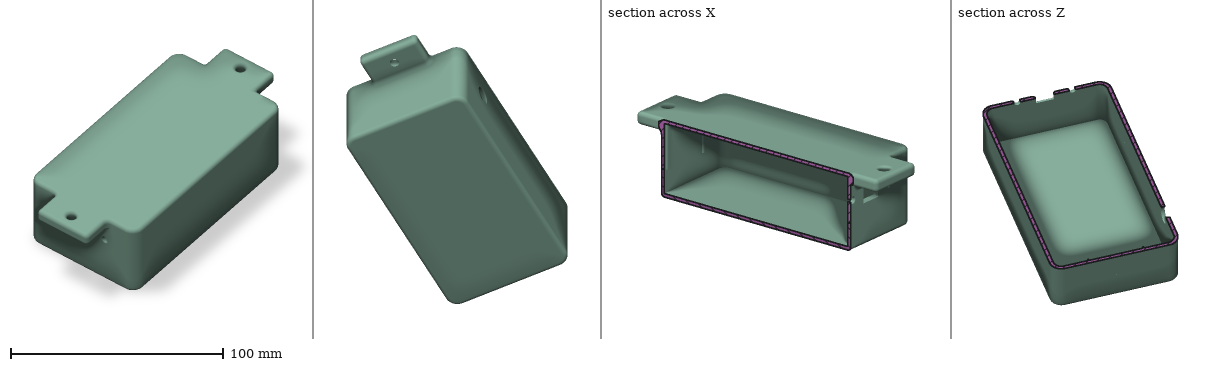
import cadquery as cq
width = 63.5
overall_length = 145.0
height = 39.3
tab_reach = 15.4
body_length = overall_length - 2 * tab_reach
cover_height = 13.9
wall = 2.0
corner_radius = 6.0
edge_radius = 2.0

tab_width = 30.0
tab_thickness = 6.5
tab_hole_diameter = 4.5
tab_hole_rim_diameter = 8.4
tab_hole_inset = 7.4

port_z = 25.4
rim_radius = 0.51
led_hole_diameter = 3.0
led_hole_x = 13.6
window_width = 9.0
window_height = 6.1
window_bevel = 1.0

cable_hole_diameter = 8.0
cable_hole_y = 35.5
cable_hole_z = 23.3

rib_width = 0.7
rib_depth = 0.9

half_length = body_length / 2
tab_side = tab_width / 2
tab_end = overall_length / 2
tab_bottom = height - tab_thickness
tab_hole_y = tab_end - tab_hole_inset
margin = 0.01


def rounded_block(size_x, size_y, bottom, top, radius):
    """Upright block with rounded vertical edges."""
    block = cq.Workplane("XY", origin=(0, 0, bottom)).rect(size_x, size_y).extrude(top - bottom)
    return block.edges("|Z").fillet(radius)


def cavity(bottom, top):
    """Hollow that leaves one wall thickness all round."""
    return rounded_block(width - 2 * wall, body_length - 2 * wall, bottom, top, corner_radius - wall)


def rounded_tab(plate):
    """Plate at the rear end with its outer corners and lower edges rounded."""
    plate = plate.faces(">Y").edges("|Z").fillet(edge_radius)
    return plate.faces("<Z").edges(">Y").fillet(edge_radius)


def tab_plate(size_x, end_y):
    """Flat plate at tab level from inside the rear wall out to end_y; the cavity trims its root."""
    root_y = half_length - 2 * wall
    base = cq.Workplane("XY", origin=(0, (root_y + end_y) / 2, tab_bottom))
    return base.rect(size_x, end_y - root_y).extrude(tab_thickness)


def front_tab():
    """Tab whose sides flare into the wall, where the flares end in buried shoulders.

    It is built at the rear and mirrored to the front.
    """
    shoulder_width = tab_width + 6 * edge_radius
    plate = tab_plate(tab_width, tab_end).union(tab_plate(shoulder_width, half_length))
    flare_corners = cq.selectors.BoxSelector(
        (-tab_side - margin, half_length - margin, 0),
        (tab_side + margin, half_length + margin, height),
    )
    plate = plate.edges("|Z").edges(flare_corners).fillet(edge_radius)
    return rounded_tab(plate).mirror("XZ")


def rear_tab():
    return rounded_tab(tab_plate(tab_width, tab_end))


def fillet_rear_tab_root(body):
    """Inside corner running down, under and up around the rear tab at the end wall."""
    root = cq.selectors.BoxSelector(
        (-tab_side - margin, half_length - margin, tab_bottom - margin),
        (tab_side + margin, half_length + margin, height - edge_radius + margin),
        boundingbox=True,
    )
    return body.edges(root).fillet(edge_radius)


def rimmed_hole(plane, diameter, rim, depth):
    """Round cutter running inward from the plane, with a rounded, flaring mouth."""
    radius = diameter / 2
    profile = (
        cq.Workplane("XY")
        .lineTo(radius + rim, 0)
        .radiusArc((radius, -rim), -rim)
        .lineTo(radius, -depth)
        .lineTo(0, -depth)
        .close()
        .revolve(360, (0, 0, 0), (0, 1, 0))
    )
    return profile.rotate((0, 0, 0), (1, 0, 0), 90).val().moved(cq.Location(plane))


def tab_holes():
    rim = (tab_hole_rim_diameter - tab_hole_diameter) / 2
    for y in (-tab_hole_y, tab_hole_y):
        yield rimmed_hole(cq.Plane((0, y, height), normal=(0, 0, 1)), tab_hole_diameter, rim, tab_thickness)


def led_holes():
    for x in (-led_hole_x, led_hole_x):
        plane = cq.Plane((x, -half_length, port_z), normal=(0, -1, 0))
        yield rimmed_hole(plane, led_hole_diameter, rim_radius, wall)


def cable_hole():
    plane = cq.Plane((-width / 2, cable_hole_y, cable_hole_z), normal=(-1, 0, 0))
    return rimmed_hole(plane, cable_hole_diameter, rim_radius, wall)


def window():
    """Rectangular opening with a bevelled rim on the outside."""
    outer = cq.Workplane("XZ", origin=(0, -half_length, port_z))
    opening = outer.rect(window_width, window_height).extrude(-wall)
    bevel = (
        outer.rect(window_width + 2 * window_bevel, window_height + 2 * window_bevel)
        .workplane(offset=-window_bevel)
        .rect(window_width, window_height)
        .loft(ruled=True)
    )
    return opening.union(bevel)


def rear_rib(x):
    inner_face = half_length - wall
    base = cq.Workplane("XY", origin=(x, inner_face - rib_depth / 2, cover_height))
    return base.rect(rib_width, rib_depth).extrude(height - wall - cover_height)


def make_housing():
    body = rounded_block(width, body_length, cover_height, height, corner_radius)
    body = body.union(front_tab()).union(rear_tab())
    body = body.faces(">Z").edges().fillet(edge_radius)
    body = fillet_rear_tab_root(body)
    body = body.cut(cavity(cover_height, height - wall)).cut(window())
    for cutter in (*tab_holes(), *led_holes(), cable_hole()):
        body = body.cut(cq.Workplane(cutter))
    for x in (-led_hole_x, led_hole_x):
        body = body.union(rear_rib(x))
    return body


def make_cover():
    body = rounded_block(width, body_length, 0, cover_height, corner_radius)
    body = body.faces("<Z").edges().fillet(edge_radius)
    return body.cut(cavity(wall, cover_height))


housing = make_housing()
cover = make_cover()
result = cq.Compound.makeCompound([housing.val(), cover.val()])